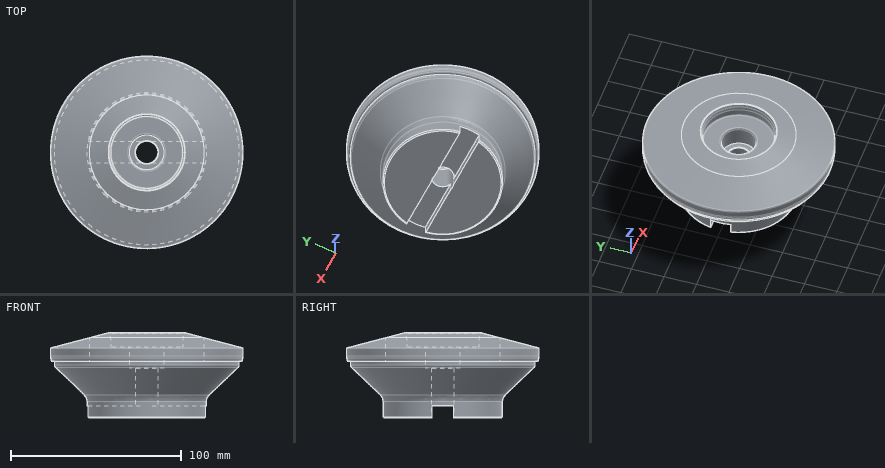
import cadquery as cq

outer_radius = 56.4
total_height = 50.0
through_size = 3 * outer_radius

foot_radius = 35.0
foot_chamfer = 0.8
flare_start_height = 12.0
flare_end_height = 30.3
flare_start_fillet = 5.3
flare_end_fillet = 2.3
shoulder_radius = 54.2
seat_height = 33.2
seat_radius = 33.6

mouth_radius = 22.6
rim_height = 41.1
rim_fillet = 0.6

taper_height = 2.6
taper_inset = 0.6
taper_fillet = 5.6
lower_edge_fillet = 0.3

mouth_chamfer = 0.3
upper_taper_radius = 21.6
upper_taper_height = 48.1
wall_radius = 21.1
wall_height = 46.2
floor_height = 41.7
floor_fillet = 0.3

counterbore_radius = 10.2
counterbore_floor_height = 29.3
counterbore_fillet = 0.9
hole_radius = 6.5
hole_chamfer = 0.3

slot_width = 12.5
slot_depth = 7.1

cone_slope = (total_height - rim_height) / (outer_radius - mouth_radius)


def cone_height(radius):
    """Height of the top cone at a given radius."""
    return total_height - cone_slope * (radius - mouth_radius)


def revolve_profile(points):
    """Revolve a closed (radius, height) profile around Z."""
    return cq.Workplane("XZ").polyline(points).close().revolve(360, (0, 0), (0, 1))


def circle_at(body, radius, height):
    """Circular edges of a body with the given radius and height."""
    tolerance = 0.01
    reach = radius + tolerance
    selector = cq.selectors.BoxSelector(
        (-reach, -reach, height - tolerance),
        (reach, reach, height + tolerance),
        boundingbox=True,
    )
    smallest = radius - tolerance
    return body.edges(selector).filter(lambda edge: edge.geomType() == "CIRCLE" and edge.radius() > smallest)


def make_hub():
    hub = revolve_profile([
        (0, 0),
        (foot_radius, 0),
        (foot_radius, flare_start_height),
        (shoulder_radius, flare_end_height),
        (shoulder_radius, seat_height),
        (seat_radius, seat_height),
        (seat_radius, cone_height(seat_radius)),
        (mouth_radius, total_height),
        (0, total_height),
    ])
    hub = circle_at(hub, foot_radius, 0).chamfer(foot_chamfer)
    hub = circle_at(hub, foot_radius, flare_start_height).fillet(flare_start_fillet)
    hub = circle_at(hub, shoulder_radius, flare_end_height).fillet(flare_end_fillet)
    return hub.cut(make_recess()).cut(make_screw_hole()).cut(make_slot())


def make_recess():
    recess = revolve_profile([
        (0, floor_height),
        (wall_radius, floor_height),
        (wall_radius, wall_height),
        (upper_taper_radius, upper_taper_height),
        (mouth_radius - mouth_chamfer, total_height - mouth_chamfer),
        (mouth_radius, total_height),
        (0, total_height),
    ])
    return circle_at(recess, wall_radius, floor_height).fillet(floor_fillet)


def make_screw_hole():
    chamfer_radius = hole_radius + hole_chamfer
    mouth_edge_radius = counterbore_radius + counterbore_fillet
    return (
        cq.Workplane("XZ")
        .lineTo(hole_radius, 0)
        .lineTo(hole_radius, counterbore_floor_height - hole_chamfer)
        .lineTo(chamfer_radius, counterbore_floor_height)
        .lineTo(counterbore_radius, counterbore_floor_height)
        .lineTo(counterbore_radius, floor_height - counterbore_fillet)
        .radiusArc((mouth_edge_radius, floor_height), counterbore_fillet)
        .lineTo(0, floor_height)
        .close()
        .revolve(360, (0, 0), (0, 1))
    )


def make_slot():
    return cq.Workplane("XY").box(through_size, slot_width, slot_depth, centered=(True, True, False))


def make_ring():
    taper_top = seat_height + taper_height
    ring = revolve_profile([
        (seat_radius, seat_height),
        (outer_radius - taper_inset, seat_height),
        (outer_radius, taper_top),
        (outer_radius, rim_height),
        (seat_radius, cone_height(seat_radius)),
    ])
    ring = circle_at(ring, outer_radius, taper_top).fillet(taper_fillet)
    ring = circle_at(ring, outer_radius - taper_inset, seat_height).fillet(lower_edge_fillet)
    return circle_at(ring, outer_radius, rim_height).fillet(rim_fillet)


hub = make_hub()
ring = make_ring()
result = cq.Compound.makeCompound([hub.val(), ring.val()])